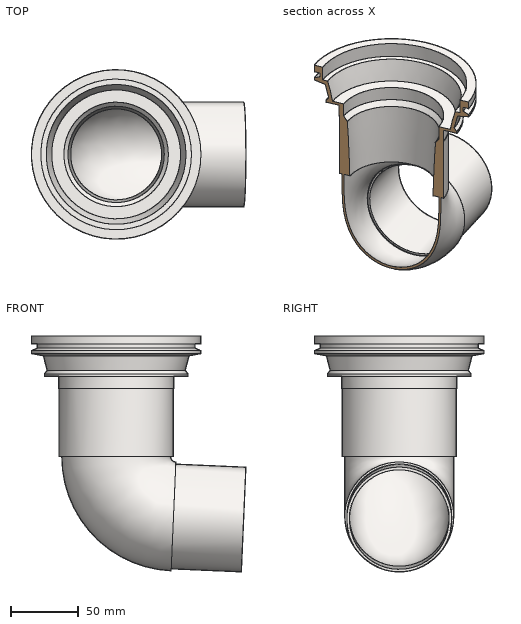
import cadquery as cq
import math


rim_dia = 125.0
rim_depth = 6.0
groove_dia = 116.5
groove_depth = 9.0
lip_top_depth = 11.0
lip_bottom_depth = 13.2
cup_top_dia = 107.5
cup_top_depth = 14.8
cup_bottom_dia = 102.0
cup_bottom_depth = 25.5
collar_dia = 106.0
collar_top_depth = 28.0
collar_bottom_depth = 30.0

sleeve_dia = 85.0
sleeve_depth = 39.0
pipe_dia = 84.4
pipe_depth = 89.0

recess_dia = 111.0
recess_depth = 11.0
cup_bore_top_dia = 103.0
cup_bore_bottom_dia = 95.0
cup_floor_depth = 27.5
socket_dia = 77.0
socket_depth = 38.0
taper_top_dia = 71.0
taper_top_depth = 42.1
taper_bottom_dia = 67.0

elbow_dia = 80.4
elbow_wall = 2.0
inner_bend_radius = 4.0
bend_radius = inner_bend_radius + elbow_dia / 2
bend_angle = 87.5
outlet_dia = 77.4
outlet_wall = 2.0
outlet_length = 51.8


def make_inlet():
    """Turned inlet: outside going down from the rim, then the bore going back up."""
    rings = [
        (rim_dia, 0),
        (rim_dia, rim_depth),
        (groove_dia, rim_depth),
        (groove_dia, groove_depth),
        (rim_dia, lip_top_depth),
        (rim_dia, lip_bottom_depth),
        (cup_top_dia, cup_top_depth),
        (cup_bottom_dia, cup_bottom_depth),
        (collar_dia, collar_top_depth),
        (collar_dia, collar_bottom_depth),
        (sleeve_dia, collar_bottom_depth),
        (sleeve_dia, sleeve_depth),
        (pipe_dia, sleeve_depth),
        (pipe_dia, pipe_depth),
        (taper_bottom_dia, pipe_depth),
        (taper_top_dia, taper_top_depth),
        (socket_dia, socket_depth),
        (socket_dia, cup_floor_depth),
        (cup_bore_bottom_dia, cup_floor_depth),
        (cup_bore_top_dia, recess_depth),
        (recess_dia, recess_depth),
        (recess_dia, 0),
    ]
    outline = [(dia / 2, -depth) for dia, depth in rings]
    return cq.Workplane("XZ").polyline(outline).close().revolve(360, (0, 0), (0, 1))


def make_elbow():
    """Thin-walled bend that turns the flow from -Z towards +X."""
    section = cq.Workplane("XY", origin=(0, 0, -pipe_depth))
    ring = section.circle(elbow_dia / 2).circle(elbow_dia / 2 - elbow_wall)
    return ring.revolve(bend_angle, (bend_radius, 0), (bend_radius, -1))


def make_outlet():
    """Straight spigot that continues tangentially from the end of the bend."""
    angle = math.radians(bend_angle)
    bend_end = (
        bend_radius * (1 - math.cos(angle)),
        0,
        -pipe_depth - bend_radius * math.sin(angle),
    )
    flow = (math.sin(angle), 0, -math.cos(angle))
    end_plane = cq.Plane(origin=bend_end, xDir=(0, 1, 0), normal=flow)
    ring = cq.Workplane(end_plane).circle(outlet_dia / 2).circle(outlet_dia / 2 - outlet_wall)
    return ring.extrude(outlet_length)


result = make_inlet().union(make_elbow()).union(make_outlet())